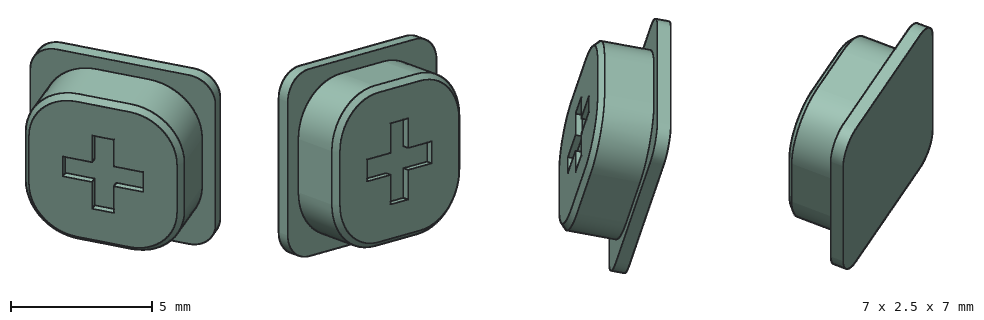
import cadquery as cq

flange_side = 7.0
flange_thickness = 0.5
flange_corner_radius = 1.0

total_depth = 2.5
boss_height = total_depth - flange_thickness
boss_side = 6.0
boss_corner_radius = 2.0
boss_chamfer = 0.2

cross_length = 3.03
cross_arm_width = 0.82
cross_depth = 0.25


def rounded_square(side, corner_radius, thickness):
    """Rounded square block whose back lies on Y = 0 and which extends toward -Y."""
    block = cq.Workplane("XZ").rect(side, side).extrude(thickness)
    return block.edges("|Y").fillet(corner_radius)


def make_boss():
    """Boss rising from the front of the flange, with a chamfered outer rim."""
    boss = rounded_square(boss_side, boss_corner_radius, boss_height)
    boss = boss.faces("<Y").edges().chamfer(boss_chamfer)
    return boss.translate((0, -flange_thickness, 0))


def make_cross():
    """Two crossed bars that fill the recess, flush with the boss face."""
    face = cq.Workplane("XZ", origin=(0, -total_depth + cross_depth, 0))
    horizontal = face.rect(cross_length, cross_arm_width).extrude(cross_depth)
    vertical = face.rect(cross_arm_width, cross_length).extrude(cross_depth)
    return horizontal.union(vertical)


flange = rounded_square(flange_side, flange_corner_radius, flange_thickness)
result = flange.union(make_boss()).cut(make_cross())